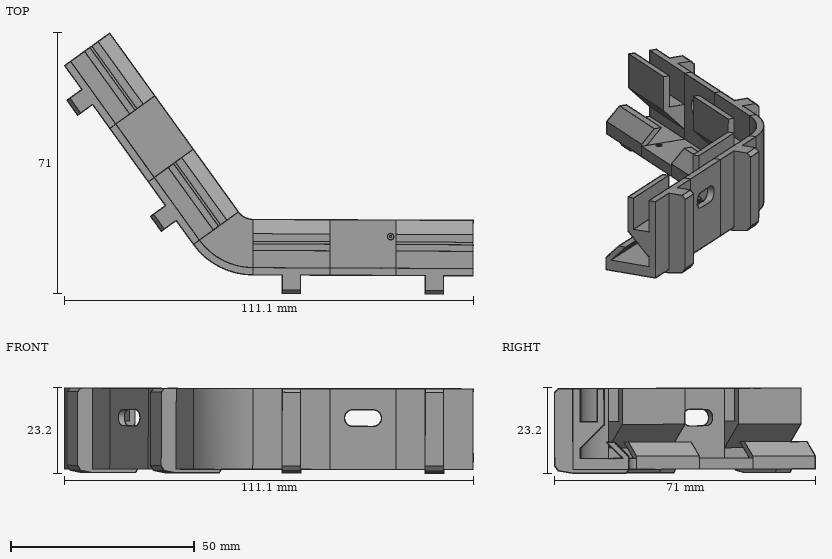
import cadquery as cq


arm_angle = 126.0
turn_angle = 180.0 - arm_angle
clip_length = 21.0
plate_length = 17.9
arm_length = 2 * clip_length + plate_length
corner_outer_radius = 20.0

height = 22.0
depth = 15.1
wall = 2.0
floor = 3.0

hook_inner = 6.7
hook_outer = 8.5
hook_slot_floor = 13.0
hook_bend_height = 12.2
hook_foot_height = hook_bend_height - (hook_outer - wall)
flange_height = 7.5
flange_top_outer = 11.2
flange_top_inner = 9.1
flange_lean_start = flange_height - (depth - flange_top_outer)
flange_inner_foot = flange_top_inner + flange_height - floor

bracket_width = 5.0
rib_depth = 5.0
rib_top_chamfer = 1.0
rail_depth = 1.0
rib_heel_height = 1.0
heel_run = 1.0
heel_drop = 0.3
rail_end_run = 0.7

slot_length = 10.0
slot_height = 4.5
slot_center_height = 14.0

dot_hole_diameter = 1.7
dot_diameter = 0.8
dot_along = 16.5
dot_inward = 10.6

lean_x = 0.08
lean_y = 0.08
lean_z = -0.23


def extrude_along_arm(points, length):
    """Extrude a (Y, Z) section along X from X = 0."""
    return cq.Workplane("YZ").polyline(points).close().extrude(length)


def wall_and_floor_points():
    return [(0, 0), (depth, 0), (depth, floor), (wall, floor), (wall, height), (0, height)]


def make_bracket():
    points = [
        (wall, height),
        (rib_top_chamfer - rib_depth, height),
        (-rib_depth, height - rib_top_chamfer),
        (-rib_depth, rib_heel_height),
        (heel_run - rib_depth, -heel_drop),
        (0, -rail_depth),
        (depth - rail_end_run, -rail_depth),
        (depth, 0),
        (wall, 0),
    ]
    start = (clip_length - bracket_width) / 2
    return extrude_along_arm(points, bracket_width).translate((start, 0, 0))


def make_clip():
    points = [
        (0, 0),
        (depth, 0),
        (depth, flange_lean_start),
        (flange_top_outer, flange_height),
        (flange_top_inner, flange_height),
        (flange_inner_foot, floor),
        (wall, floor),
        (wall, hook_foot_height),
        (hook_outer, hook_bend_height),
        (hook_outer, height),
        (hook_inner, height),
        (hook_inner, hook_slot_floor),
        (wall, hook_slot_floor),
        (wall, height),
        (0, height),
    ]
    return extrude_along_arm(points, clip_length).union(make_bracket())


def make_plate():
    slot = (
        cq.Workplane("XZ")
        .center(plate_length / 2, slot_center_height)
        .slot2D(slot_length, slot_height)
        .extrude(-wall)
    )
    return extrude_along_arm(wall_and_floor_points(), plate_length).cut(slot)


def make_floor_cylinder(diameter):
    """Upright cylinder through the plate floor where the dot sits."""
    return cq.Workplane("XY").center(dot_along, dot_inward).circle(diameter / 2).extrude(floor)


def make_corner():
    """Wall and floor section swept round the corner centre, ending at X = 0."""
    return (
        cq.Workplane("YZ")
        .polyline(wall_and_floor_points())
        .close()
        .revolve(turn_angle, (corner_outer_radius, 0), (corner_outer_radius, -1))
    )


def on_first_arm(body, along):
    return body.translate((along, 0, 0))


def on_second_arm(body, along):
    """Place a body on an arm running toward -X, then swing that arm round the corner centre."""
    pivot = (0, corner_outer_radius)
    return body.translate((along - arm_length, 0, 0)).rotate((*pivot, 0), (*pivot, 1), -turn_angle)


def lean(body):
    origin = (0, 0, 0)
    turned = body.rotate(origin, (0, 0, 1), lean_z)
    return turned.rotate(origin, (0, 1, 0), lean_y).rotate(origin, (1, 0, 0), lean_x)


plate_start = clip_length
far_clip_start = clip_length + plate_length

clips = []
for place in (on_first_arm, on_second_arm):
    for clip_start in (0, far_clip_start):
        clips.append(place(make_clip(), clip_start))

dotted_plate = on_first_arm(make_plate().cut(make_floor_cylinder(dot_hole_diameter)), plate_start)
plain_plate = on_second_arm(make_plate(), plate_start)
dot = on_first_arm(make_floor_cylinder(dot_diameter), plate_start)
corner = make_corner()

bodies = [*clips, dotted_plate, plain_plate, corner, dot]
result = cq.Compound.makeCompound([lean(body).val() for body in bodies])